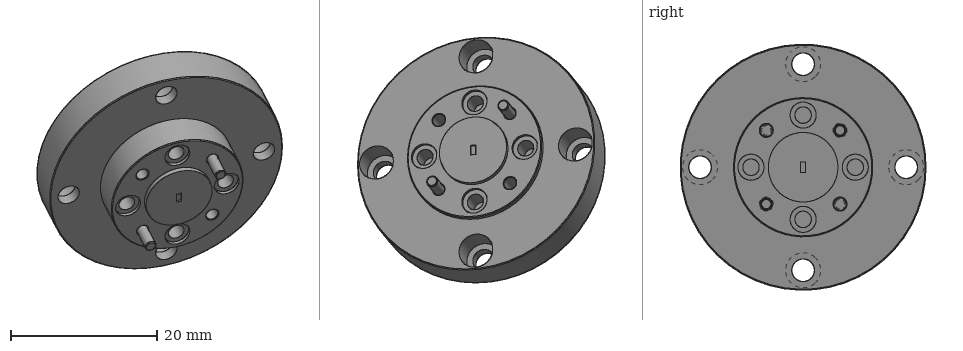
import cadquery as cq
import math


flange_diameter = 33.65
flange_back_x = -4.8
flange_front_x = 0.88
edge_chamfer = 0.15

hub_diameter = 19.05
hub_half_length = 5.62
boss_diameter = 9.53
boss_height = 0.7

flange_hole_count = 4
flange_hole_circle_radius = 14.1
flange_hole_diameter = 3.05
flange_counterbore_diameter = 4.78
flange_counterbore_depth = 4.05

screw_hole_count = 4
interface_circle_radius = 7.15
screw_hole_diameter = 2.25
screw_hole_depth = 4.05
screw_counterbore_diameter = 3.57
screw_counterbore_depth = 0.5

pin_diameter = 1.55
overall_length = 18.4
pin_length = 7.4
pin_chamfer = 0.15
pin_angles = (45.0, 225.0)
open_hole_diameter = 1.7
open_hole_depth = 4.7
open_hole_angles = (135.0, 315.0)
dowel_hole_chamfer = 0.1

window_width = 0.7
window_height = 1.38
window_depth = 0.3

boss_face_x = hub_half_length + boss_height
pin_tip_x = overall_length / 2
pin_root_x = pin_tip_x - pin_length
pin_hole_depth = hub_half_length - pin_root_x
full_turn = 360.0
mouth_taper = 45.0


def cylinder_x(diameter, start_x, end_x, y=0.0, z=0.0):
    """Cylinder parallel to X between two X positions."""
    return (
        cq.Workplane("YZ", origin=(start_x, y, z))
        .circle(diameter / 2)
        .extrude(end_x - start_x)
    )


def polar_point(radius, angle):
    """Y and Z of a point on a circle about the X axis."""
    turn = math.radians(angle)
    return radius * math.cos(turn), radius * math.sin(turn)


def even_angles(count):
    return [index * full_turn / count for index in range(count)]


def to_back_end(shape):
    """Turn a shape made for the +X end half a revolution about Z."""
    return shape.rotate((0, 0, 0), (0, 0, 1), full_turn / 2)


def make_blank():
    hub = cylinder_x(hub_diameter, -hub_half_length, hub_half_length).edges().chamfer(edge_chamfer)
    flange = cylinder_x(flange_diameter, flange_back_x, flange_front_x).edges().chamfer(edge_chamfer)
    boss = cylinder_x(boss_diameter, -boss_face_x, boss_face_x)
    return hub.union(flange).union(boss)


def make_flange_holes():
    cutters = []
    for angle in even_angles(flange_hole_count):
        y, z = polar_point(flange_hole_circle_radius, angle)
        counterbore_end_x = flange_back_x + flange_counterbore_depth
        bore = cylinder_x(flange_hole_diameter, flange_back_x, flange_front_x, y, z)
        counterbore = cylinder_x(flange_counterbore_diameter, flange_back_x, counterbore_end_x, y, z)
        cutters.append(bore.union(counterbore))
    return cutters


def make_screw_hole(angle):
    y, z = polar_point(interface_circle_radius, angle)
    bore = cylinder_x(screw_hole_diameter, hub_half_length - screw_hole_depth, hub_half_length, y, z)
    counterbore_start_x = hub_half_length - screw_counterbore_depth
    counterbore = cylinder_x(screw_counterbore_diameter, counterbore_start_x, hub_half_length, y, z)
    return bore.union(counterbore)


def make_dowel_hole(angle, diameter, depth):
    """Blind hole with a chamfered mouth."""
    y, z = polar_point(interface_circle_radius, angle)
    bore = cylinder_x(diameter, hub_half_length - depth, hub_half_length, y, z)
    mouth = (
        cq.Workplane("YZ", origin=(hub_half_length, y, z))
        .circle(diameter / 2 + dowel_hole_chamfer)
        .extrude(-dowel_hole_chamfer, taper=mouth_taper)
    )
    return bore.union(mouth)


def make_window():
    return (
        cq.Workplane("YZ", origin=(boss_face_x, 0, 0))
        .rect(window_width, window_height)
        .extrude(-window_depth)
    )


def make_interface():
    """Cutters for the +X end face."""
    cutters = [make_screw_hole(angle) for angle in even_angles(screw_hole_count)]
    cutters += [make_dowel_hole(angle, open_hole_diameter, open_hole_depth) for angle in open_hole_angles]
    cutters += [make_dowel_hole(angle, pin_diameter, pin_hole_depth) for angle in pin_angles]
    cutters.append(make_window())
    return cutters


def make_housing():
    housing = make_blank()
    for cutter in make_flange_holes():
        housing = housing.cut(cutter)
    for cutter in make_interface():
        housing = housing.cut(cutter)
        housing = housing.cut(to_back_end(cutter))
    return housing


def make_pin(angle):
    y, z = polar_point(interface_circle_radius, angle)
    pin = cylinder_x(pin_diameter, pin_root_x, pin_tip_x, y, z)
    return pin.faces(">X").chamfer(pin_chamfer)


housing = make_housing()

pins = []
for pin_angle in pin_angles:
    pin = make_pin(pin_angle)
    pins.append(pin.val())
    pins.append(to_back_end(pin).val())

result = cq.Compound.makeCompound([housing.val(), *pins])